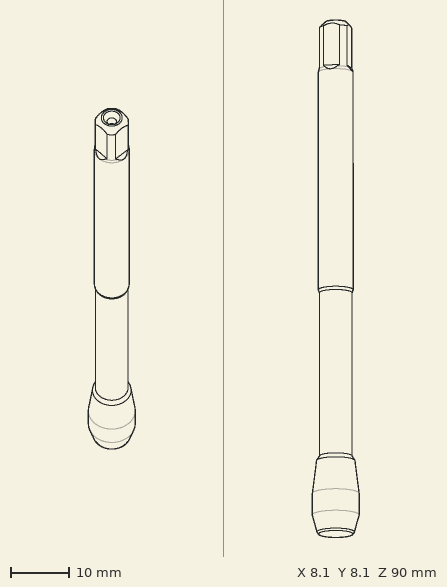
import cadquery as cq
import math

TOTAL_LENGTH = 90.0

HEAD_DIAMETER = 8.1
HEAD_LENGTH = 13.7
HEAD_END_DIAMETER = 5.9
LEAD_START_DIAMETER = 6.5
LEAD_START_Z = 0.4
HEAD_BAND_BOTTOM_Z = 3.3
HEAD_BAND_TOP_Z = 7.1
HEAD_SHOULDER_DIAMETER = 6.7
HEAD_SHOULDER_Z = 12.9

NECK_DIAMETER = 5.7
BODY_DIAMETER = 6.0
BODY_BOTTOM_Z = 42.9
BODY_TOP_Z = 81.2
NECK_TAPER_LENGTH = 0.5

DRIVE_DIAMETER = 5.8
DRIVE_ACROSS_FLATS = 4.95
DRIVE_TAPER_LENGTH = 0.5
FLAT_BOTTOM_Z = 82.0
DRIVE_END_DIAMETER = 3.6
DRIVE_CHAMFER_LENGTH = 1.1

CENTER_HOLE_DIAMETER = 1.6
CENTER_HOLE_DEPTH = 2.7
COUNTERSINK_DIAMETER = 2.9
COUNTERSINK_ANGLE = 60.0
DRILL_POINT_ANGLE = 118.0


def cone_depth(diameter, included_angle):
    """Height of a cone with the given base diameter and included angle."""
    return diameter / 2 / math.tan(math.radians(included_angle / 2))


def turned(stations):
    """Solid of revolution about Z through (diameter, z) stations, listed upward."""
    start_diameter, start_z = stations[0]
    outline = [(0, start_z)] if start_diameter > 0 else []
    outline += [(diameter / 2, z) for diameter, z in stations]
    outline.append((0, stations[-1][1]))
    return cq.Workplane("XZ").polyline(outline).close().revolve(360, (0, 0), (0, 1))


def make_head():
    """Barrel with a straight band, tapering toward both ends."""
    return turned([
        (HEAD_END_DIAMETER, 0),
        (LEAD_START_DIAMETER, LEAD_START_Z),
        (HEAD_DIAMETER, HEAD_BAND_BOTTOM_Z),
        (HEAD_DIAMETER, HEAD_BAND_TOP_Z),
        (HEAD_SHOULDER_DIAMETER, HEAD_SHOULDER_Z),
        (NECK_DIAMETER, HEAD_LENGTH),
    ])


def make_shank_blank():
    """Round shank before the flats and the center hole are cut."""
    return turned([
        (NECK_DIAMETER, HEAD_LENGTH),
        (NECK_DIAMETER, BODY_BOTTOM_Z - NECK_TAPER_LENGTH),
        (BODY_DIAMETER, BODY_BOTTOM_Z),
        (BODY_DIAMETER, BODY_TOP_Z),
        (DRIVE_DIAMETER, BODY_TOP_Z + DRIVE_TAPER_LENGTH),
        (DRIVE_DIAMETER, TOTAL_LENGTH - DRIVE_CHAMFER_LENGTH),
        (DRIVE_END_DIAMETER, TOTAL_LENGTH),
    ])


def make_flat_cutter():
    """Block around the square drive, leaving four flats with a ramp at the foot of each."""
    block = (
        cq.Workplane("XY", origin=(0, 0, BODY_TOP_Z))
        .rect(2 * BODY_DIAMETER, 2 * BODY_DIAMETER)
        .rect(DRIVE_ACROSS_FLATS, DRIVE_ACROSS_FLATS)
        .extrude(TOTAL_LENGTH - BODY_TOP_Z)
    )
    ramp_height = FLAT_BOTTOM_Z - BODY_TOP_Z
    ramped_foot = (
        cq.Workplane("XY", origin=(0, 0, BODY_TOP_Z))
        .rect(BODY_DIAMETER, BODY_DIAMETER)
        .workplane(offset=ramp_height)
        .rect(DRIVE_ACROSS_FLATS, DRIVE_ACROSS_FLATS)
        .loft(ruled=True)
    )
    return block.cut(ramped_foot)


def make_center_hole():
    """Countersunk blind hole with a drill point."""
    bottom_z = TOTAL_LENGTH - CENTER_HOLE_DEPTH
    countersink_depth = cone_depth(COUNTERSINK_DIAMETER - CENTER_HOLE_DIAMETER, COUNTERSINK_ANGLE)
    return turned([
        (0, bottom_z - cone_depth(CENTER_HOLE_DIAMETER, DRILL_POINT_ANGLE)),
        (CENTER_HOLE_DIAMETER, bottom_z),
        (CENTER_HOLE_DIAMETER, TOTAL_LENGTH - countersink_depth),
        (COUNTERSINK_DIAMETER, TOTAL_LENGTH),
    ])


def make_shank():
    """Shank with a square drive, standing on the top of the head."""
    return make_shank_blank().cut(make_flat_cutter()).cut(make_center_hole())


head = make_head()
shank = make_shank()

result = cq.Compound.makeCompound([head.val(), shank.val()])